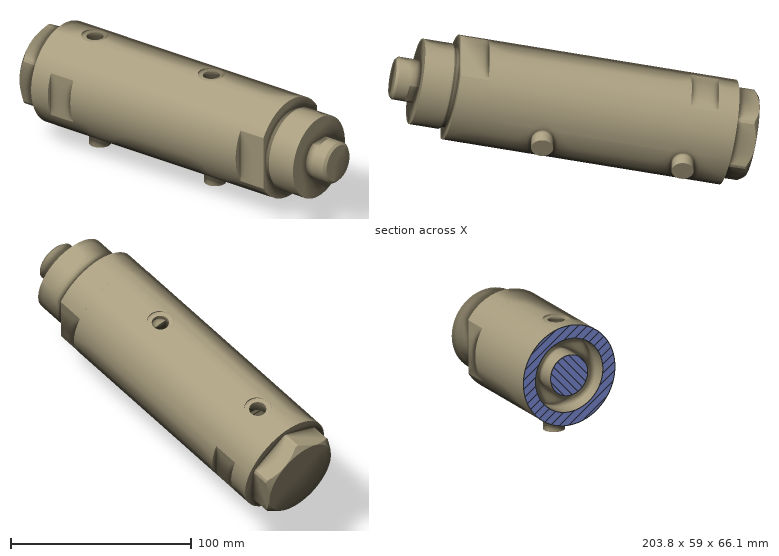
import cadquery as cq
import math

hex_end = 13.0
flange_end = 14.9
spigot_end = 38.1
piston_end = 61.1
gland_start = 116.8
collar_start = 154.9
collar_end = 170.8
ring_start = 173.8
ring_end = 190.5
rod_end = 203.8

body_diameter = 59.0
bore_diameter = 42.8
gland_seat_diameter = 52.0
housing_flat_start = 24.7
housing_flat_end = 40.1
housing_flat_width = 53.0

port_positions = (35.3, 116.0)
port_diameter = 9.5
spotface_diameter = 15.0
spotface_depth = 1.0
foot_positions = (38.7, 118.6)
foot_diameter = 12.2
foot_projection = 7.1

hex_across_flats = 46.0
hex_corner_diameter = 52.2
hex_face_diameter = 45.7
hex_chamfer_length = 2.9
spigot_diameter = 40.8

collar_flat_width = 50.0
ring_diameter = 48.0
ring_chamfer = 1.5
neck_diameter = ring_diameter - 2 * ring_chamfer
collar_fillet = 0.5
ring_fillet = 0.6

rod_diameter = 24.0
rod_chamfer = 1.5
rod_flat_width = 21.0
rod_flat_end = 195.5


def cylinder(start, end, diameter):
    """Cylinder on the X axis between two stations."""
    return cq.Workplane("YZ", origin=(start, 0, 0)).circle(diameter / 2).extrude(end - start)


def flats(start, end, width, angle=0):
    """Two cutters leaving parallel flats on +Y and -Y, turned about X by angle degrees."""
    offset = (width + body_diameter) / 2
    return (
        cq.Workplane("XY", origin=((start + end) / 2, 0, 0))
        .pushPoints([(0, -offset), (0, offset)])
        .box(end - start, body_diameter, body_diameter)
        .rotate((0, 0, 0), (1, 0, 0), angle)
    )


def make_housing():
    """Tube with a stepped bore, wrench flats, two top ports and two feet."""
    housing = cylinder(flange_end, collar_start, body_diameter)

    foot_height = body_diameter / 2 + foot_projection
    for x in foot_positions:
        foot = cq.Workplane("XY", origin=(x, 0, -foot_height)).circle(foot_diameter / 2).extrude(foot_height)
        housing = housing.union(foot)

    housing = housing.cut(cylinder(flange_end, collar_start, bore_diameter))
    housing = housing.cut(cylinder(gland_start, collar_start, gland_seat_diameter))

    housing = housing.cut(flats(housing_flat_start, housing_flat_end, housing_flat_width))

    spotface_floor = body_diameter / 2 - spotface_depth
    for x in port_positions:
        port = cq.Workplane("XY", origin=(x, 0, 0)).circle(port_diameter / 2).extrude(body_diameter)
        spotface = (
            cq.Workplane("XY", origin=(x, 0, spotface_floor))
            .circle(spotface_diameter / 2)
            .extrude(body_diameter)
        )
        housing = housing.cut(port).cut(spotface)
    return housing


def make_end_cap():
    """Hexagon head with turned corners, a thin flange and a spigot in the bore."""
    hexagon = (
        cq.Workplane("YZ")
        .polygon(6, hex_across_flats / math.cos(math.pi / 6))
        .extrude(hex_end)
        .rotate((0, 0, 0), (1, 0, 0), 90)
    )
    envelope = (
        cq.Workplane("XY")
        .polyline(
            [
                (0, 0),
                (0, hex_face_diameter / 2),
                (hex_chamfer_length, hex_corner_diameter / 2),
                (hex_end, hex_corner_diameter / 2),
                (hex_end, 0),
            ]
        )
        .close()
        .revolve(360, (0, 0, 0), (1, 0, 0))
    )
    head = hexagon.intersect(envelope)
    flange = cylinder(hex_end, flange_end, body_diameter)
    spigot = cylinder(flange_end, spigot_end, spigot_diameter)
    return head.union(flange).union(spigot)


def groove_corner(station):
    """Selector for the circular edge of the neck at one station."""
    reach = 0.6 * neck_diameter
    margin = 0.2
    return cq.selectors.BoxSelector(
        (station - margin, -reach, -reach),
        (station + margin, reach, reach),
        boundingbox=True,
    )


def make_gland():
    """Rod guide: sleeve in the housing, flatted collar, neck and outer ring."""
    sleeve = cylinder(gland_start, collar_start, gland_seat_diameter)
    collar = cylinder(collar_start, collar_end, body_diameter)
    collar = collar.cut(flats(collar_start, collar_end, collar_flat_width))
    neck = cylinder(collar_end, ring_start, neck_diameter)
    ring_back = ring_start - ring_chamfer
    ring = cylinder(ring_back, ring_end, ring_diameter).faces("<X").chamfer(ring_chamfer)
    gland = sleeve.union(collar).union(neck).union(ring)

    gland = gland.edges(groove_corner(collar_end)).fillet(collar_fillet)
    gland = gland.edges(groove_corner(ring_back)).fillet(ring_fillet)
    return gland.cut(cylinder(gland_start, ring_end, rod_diameter))


def make_piston_rod():
    """Piston head with a rod that has a chamfered tip and two wrench flats."""
    rod = cylinder(spigot_end, rod_end, rod_diameter).faces(">X").chamfer(rod_chamfer)
    rod = rod.cut(flats(ring_end, rod_flat_end, rod_flat_width, angle=90))
    return rod.union(cylinder(spigot_end, piston_end, bore_diameter))


housing = make_housing()
end_cap = make_end_cap()
gland = make_gland()
piston_rod = make_piston_rod()

result = cq.Compound.makeCompound([housing.val(), end_cap.val(), gland.val(), piston_rod.val()])